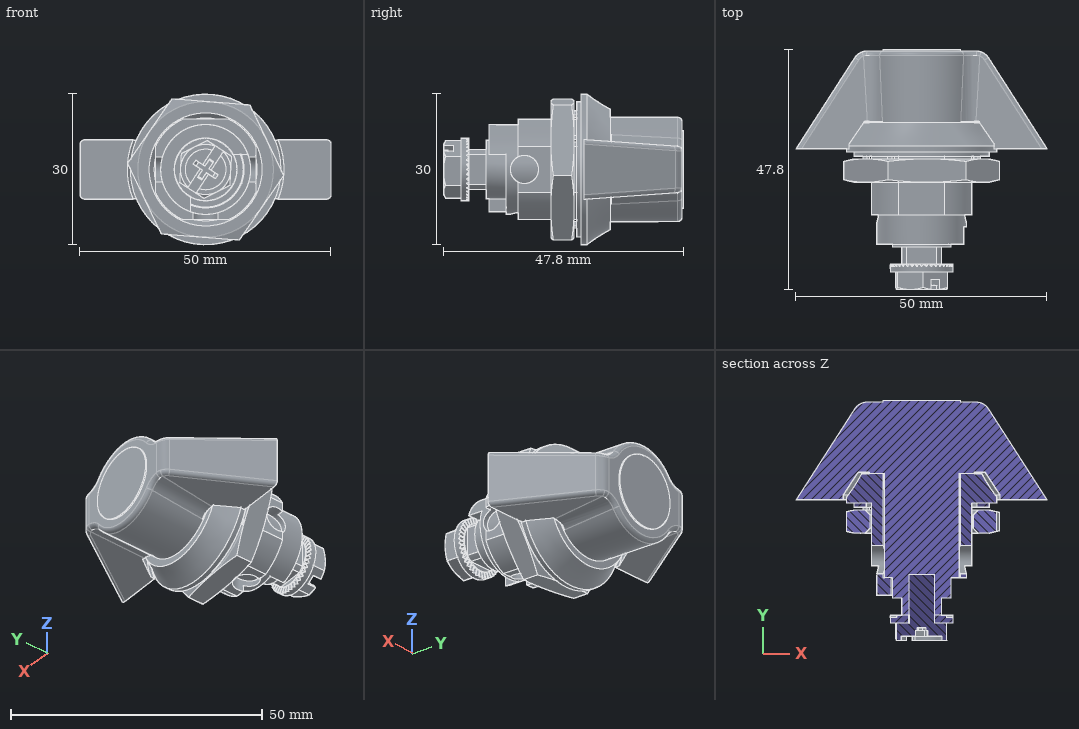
import cadquery as cq
import math


HALF_HEX_ANGLE = 30.0
FULL_TURN = 360.0
AXIS_BASE = (0, 0, 0)
AXIS_TIP = (0, 1, 0)

FLANGE_THICKNESS = 1.2
CONE_TOP_HEIGHT = 5.85
GRIP_HEIGHT = 14.3
CAP_HEIGHT = 0.3
GASKET_THICKNESS = 0.85
NUB_HEIGHT = 0.5
NUT_THICKNESS = 4.65
BARREL_LENGTH = 12.5
NOSE_LENGTH = 5.85
STOP_LENGTH = 3.45
NECK_PROJECTION = 0.55
SQUARE_LENGTH = 3.4
WASHER_THICKNESS = 1.6
HEAD_HEIGHT = 3.45

FLANGE_Y = 0.0
CONE_BASE_Y = FLANGE_Y + FLANGE_THICKNESS
CONE_TOP_Y = FLANGE_Y + CONE_TOP_HEIGHT
KNOB_TOP_Y = CONE_TOP_Y + GRIP_HEIGHT
CAP_Y = KNOB_TOP_Y + CAP_HEIGHT
WING_BASE_Y = 0.65
GASKET_END_Y = FLANGE_Y - GASKET_THICKNESS
NUT_BACK_Y = GASKET_END_Y - NUB_HEIGHT
NUT_FRONT_Y = NUT_BACK_Y - NUT_THICKNESS
BARREL_END_Y = FLANGE_Y - BARREL_LENGTH
NOSE_END_Y = BARREL_END_Y - NOSE_LENGTH
STOP_Y = NOSE_END_Y + STOP_LENGTH
NECK_END_Y = NOSE_END_Y - NECK_PROJECTION
SHAFT_END_Y = NECK_END_Y - SQUARE_LENGTH
WASHER_END_Y = SHAFT_END_Y - WASHER_THICKNESS
HEAD_END_Y = WASHER_END_Y - HEAD_HEIGHT

KNOB_DIA = 20.85
CAP_DIA = 15.5
WING_SPAN = 50.0
WING_TOP_SPAN = 24.9
WING_BASE_THICKNESS = 11.9
WING_TOP_THICKNESS = 9.1
WING_CORNER_RADIUS = 3.0
EDGE_RADIUS = 0.95
WING_ROOT_RADIUS = 4.0
POCKET_BASE_DIA = 31.2
POCKET_TOP_DIA = 25.3
POCKET_STEP_Y = 1.6
WING_CLEARANCE = 0.25
ROTOR_DIA = 15.0
NECK_DIA = 11.7
SQUARE_SIDE = 8.0
SQUARE_CORNER_DIA = 10.0

FLANGE_DIA = 30.0
CONE_TOP_DIA = 24.0
CONE_MID_Y = 3.45
CONE_MID_DIA = 26.8
BARREL_DIA = 22.0
BARREL_FLATS = 20.0
NOSE_DIA = 17.9
BORE_DIA = 15.3
NECK_BORE_DIA = 12.2
STOP_WALL = 3.0
SIDE_HOLE_DIA = 5.6
SIDE_HOLE_Y = -11.25
SIDE_HOLE_TURNS = (0, 180, -90)

GASKET_DIA = 27.0
NUT_WIDTH = 27.0
NUT_HOLE_DIA = 20.5
NUT_MOUTH_DIA = 22.5
NUT_TURN = -4.5
NUT_CHAMFER = 0.5
NUB_SIDE = 1.0
NUB_RADIUS = 12.6
NUB_TURN = 29.0
NUB_COUNT = 4

WASHER_DIA = 12.5
WASHER_HOLE_DIA = 5.1
NOTCH_COUNT = 40
NOTCH_DEPTH = 0.45
NOTCH_WIDTH = 0.75

SCREW_DIA = 5.0
SCREW_DEPTH = 8.0
HEAD_WIDTH = 10.0
HEAD_TURN = 26.8
HEAD_CHAMFER = 0.4
DISH_DIA = 8.1
DISH_DEPTH = 0.85
SLOT_WIDTH = 2.0
SLOT_DEPTH = 1.95
CROSS_ARM_WIDTH = 0.95
CROSS_TOP_SPAN = 5.3
CROSS_FLOOR_SPAN = 3.9
CROSS_DEPTH = 2.5


def cylinder(diameter, y_low, y_high):
    """Cylinder about the Y axis between two stations."""
    return cq.Workplane("XZ", origin=(0, y_high, 0)).circle(diameter / 2).extrude(y_high - y_low)


def turned(points):
    """Solid turned about the Y axis from (radius, y) points."""
    return cq.Workplane("XY").polyline(points).close().revolve(FULL_TURN, AXIS_BASE, AXIS_TIP)


def corner_radius(width):
    """Distance from the axis to the corners of a hexagon of the given width across flats."""
    return width / 2 / math.cos(math.radians(HALF_HEX_ANGLE))


def hex_prism(width, turn, y_low, y_high):
    """Hexagonal prism along Y; one corner points `turn` degrees above +X."""
    corner_dia = 2 * corner_radius(width)
    prism = cq.Workplane("XZ", origin=(0, y_high, 0)).polygon(6, corner_dia).extrude(y_high - y_low)
    return prism.rotate(AXIS_BASE, AXIS_TIP, -turn)


def make_wing_outline():
    """Trapezoid with rounded top corners, thick enough to hold the whole grip."""
    outline = (
        cq.Workplane("XY", origin=(0, 0, -KNOB_DIA))
        .moveTo(-WING_SPAN / 2, WING_BASE_Y)
        .lineTo(WING_SPAN / 2, WING_BASE_Y)
        .lineTo(WING_TOP_SPAN / 2, KNOB_TOP_Y)
        .lineTo(-WING_TOP_SPAN / 2, KNOB_TOP_Y)
        .close()
        .extrude(2 * KNOB_DIA)
    )
    return outline.edges("|Z and >Y").fillet(WING_CORNER_RADIUS)


def make_grip():
    """Round grip and two tapered wings, blended at the roots and rounded along the outer edges."""
    base_half = WING_BASE_THICKNESS / 2
    top_half = WING_TOP_THICKNESS / 2
    slab = (
        cq.Workplane("YZ", origin=(-WING_SPAN / 2, 0, 0))
        .moveTo(WING_BASE_Y, -base_half)
        .lineTo(KNOB_TOP_Y, -top_half)
        .lineTo(KNOB_TOP_Y, top_half)
        .lineTo(WING_BASE_Y, base_half)
        .close()
        .extrude(WING_SPAN)
    )
    grip = slab.union(cylinder(KNOB_DIA, WING_BASE_Y, KNOB_TOP_Y))
    grip = grip.edges("%ELLIPSE").fillet(WING_ROOT_RADIUS)
    grip = grip.intersect(make_wing_outline())
    return grip.faces(">Y").edges().fillet(EDGE_RADIUS)


def make_knob_pocket():
    """Clearance under the wings for the housing cone; its centre seats on the cone top."""
    return turned([
        (0, WING_BASE_Y),
        (POCKET_BASE_DIA / 2, WING_BASE_Y),
        (POCKET_BASE_DIA / 2, POCKET_STEP_Y),
        (POCKET_TOP_DIA / 2, CONE_TOP_Y + WING_CLEARANCE),
        (KNOB_DIA / 2, CONE_TOP_Y + WING_CLEARANCE),
        (KNOB_DIA / 2, CONE_TOP_Y),
        (0, CONE_TOP_Y),
    ])


def make_knob():
    """Wing knob with its cap, rotor shaft, neck and square cam seat."""
    knob = make_grip().cut(make_knob_pocket())
    knob = knob.union(cylinder(CAP_DIA, KNOB_TOP_Y, CAP_Y))
    knob = knob.union(cylinder(ROTOR_DIA, STOP_Y, CONE_TOP_Y))
    knob = knob.union(cylinder(NECK_DIA, NECK_END_Y, STOP_Y))
    square = cq.Workplane("XZ", origin=(0, NECK_END_Y, 0)).rect(SQUARE_SIDE, SQUARE_SIDE)
    square = square.extrude(SQUARE_LENGTH)
    seat = square.intersect(cylinder(SQUARE_CORNER_DIA, SHAFT_END_Y, NECK_END_Y))
    screw_hole = cylinder(SCREW_DIA, SHAFT_END_Y, SHAFT_END_Y + SCREW_DEPTH)
    return knob.union(seat).cut(screw_hole)


def make_side_hole(turn):
    """Radial hole through the wall, `turn` degrees about Y away from -X."""
    hole = cq.Workplane("YZ", origin=(0, SIDE_HOLE_Y, 0)).circle(SIDE_HOLE_DIA / 2).extrude(-BARREL_DIA)
    return hole.rotate(AXIS_BASE, AXIS_TIP, turn)


def make_barrel():
    """Threaded length of the housing with four flats."""
    flats = cq.Workplane("XZ").rect(BARREL_FLATS, BARREL_FLATS).extrude(BARREL_LENGTH)
    return cylinder(BARREL_DIA, BARREL_END_Y, FLANGE_Y).intersect(flats)


def make_housing():
    """Flanged housing: cone, flattened barrel and a nose with a quarter opened as a stop."""
    cone = (
        cq.Workplane("XY")
        .moveTo(0, FLANGE_Y)
        .lineTo(FLANGE_DIA / 2, FLANGE_Y)
        .lineTo(FLANGE_DIA / 2, CONE_BASE_Y)
        .threePointArc((CONE_MID_DIA / 2, CONE_MID_Y), (CONE_TOP_DIA / 2, CONE_TOP_Y))
        .lineTo(0, CONE_TOP_Y)
        .close()
        .revolve(FULL_TURN, AXIS_BASE, AXIS_TIP)
    )
    housing = cone.union(make_barrel()).union(cylinder(NOSE_DIA, NOSE_END_Y, BARREL_END_Y))
    housing = housing.cut(cylinder(BORE_DIA, STOP_Y, CONE_TOP_Y))
    housing = housing.cut(cylinder(NECK_BORE_DIA, NOSE_END_Y, STOP_Y))

    quarter = cq.Workplane("XZ", origin=(-STOP_WALL, STOP_Y, STOP_WALL))
    quarter = quarter.rect(NOSE_DIA, -NOSE_DIA, centered=False).extrude(STOP_LENGTH)
    housing = housing.cut(quarter)
    for turn in SIDE_HOLE_TURNS:
        housing = housing.cut(make_side_hole(turn))
    return housing


def make_gasket():
    """Flat ring against the flange."""
    return cylinder(GASKET_DIA, GASKET_END_Y, FLANGE_Y).cut(cylinder(BARREL_DIA, GASKET_END_Y, FLANGE_Y))


def make_nub(turn):
    """Small square foot between the nut's back face and the gasket."""
    nub = cq.Workplane("XZ", origin=(0, GASKET_END_Y, 0)).center(NUB_RADIUS, 0)
    nub = nub.rect(NUB_SIDE, NUB_SIDE).extrude(NUB_HEIGHT)
    return nub.rotate(AXIS_BASE, AXIS_TIP, -turn)


def make_nut_hole():
    """Hole through the nut with a 45 degree chamfer at each mouth."""
    mouth = NUT_MOUTH_DIA / 2
    bore = NUT_HOLE_DIA / 2
    depth = mouth - bore
    return turned([
        (0, NUT_FRONT_Y),
        (mouth, NUT_FRONT_Y),
        (bore, NUT_FRONT_Y + depth),
        (bore, NUT_BACK_Y - depth),
        (mouth, NUT_BACK_Y),
        (0, NUT_BACK_Y),
    ])


def make_nut():
    """Hexagonal nut, chamfered at the corners, fitted to the barrel and standing on four nubs."""
    corner = corner_radius(NUT_WIDTH)
    envelope = turned([
        (0, NUT_FRONT_Y),
        (NUT_WIDTH / 2, NUT_FRONT_Y),
        (corner, NUT_FRONT_Y + NUT_CHAMFER),
        (corner, NUT_BACK_Y - NUT_CHAMFER),
        (NUT_WIDTH / 2, NUT_BACK_Y),
        (0, NUT_BACK_Y),
    ])
    nut = hex_prism(NUT_WIDTH, NUT_TURN, NUT_FRONT_Y, NUT_BACK_Y).intersect(envelope)
    nut = nut.cut(make_nut_hole()).cut(make_barrel())
    for index in range(NUB_COUNT):
        nut = nut.union(make_nub(NUB_TURN + index * FULL_TURN / NUB_COUNT))
    return nut


def make_washer():
    """Lock washer with radial V-notches around the face towards the shaft."""
    washer = cylinder(WASHER_DIA, WASHER_END_Y, SHAFT_END_Y)
    washer = washer.cut(cylinder(WASHER_HOLE_DIA, WASHER_END_Y, SHAFT_END_Y))
    notch = (
        cq.Workplane("YZ", origin=(SQUARE_CORNER_DIA / 2, 0, 0))
        .moveTo(SHAFT_END_Y, -NOTCH_WIDTH / 2)
        .lineTo(SHAFT_END_Y - NOTCH_DEPTH, 0)
        .lineTo(SHAFT_END_Y, NOTCH_WIDTH / 2)
        .close()
        .extrude(WASHER_DIA / 2)
    )
    for index in range(NOTCH_COUNT):
        washer = washer.cut(notch.rotate(AXIS_BASE, AXIS_TIP, index * FULL_TURN / NOTCH_COUNT))
    return washer


def make_cross_arm(turn):
    """One full arm of the cross recess, narrowing towards its floor."""
    arm = (
        cq.Workplane("XY", origin=(0, 0, -CROSS_ARM_WIDTH / 2))
        .moveTo(-CROSS_TOP_SPAN / 2, HEAD_END_Y + DISH_DEPTH)
        .lineTo(CROSS_TOP_SPAN / 2, HEAD_END_Y + DISH_DEPTH)
        .lineTo(CROSS_FLOOR_SPAN / 2, HEAD_END_Y + CROSS_DEPTH)
        .lineTo(-CROSS_FLOOR_SPAN / 2, HEAD_END_Y + CROSS_DEPTH)
        .close()
        .extrude(CROSS_ARM_WIDTH)
    )
    return arm.rotate(AXIS_BASE, AXIS_TIP, -turn)


def make_screw():
    """Hexagon-head screw with a dished face, a straight slot and a cross recess."""
    corner = corner_radius(HEAD_WIDTH)
    envelope = turned([
        (0, HEAD_END_Y),
        (HEAD_WIDTH / 2, HEAD_END_Y),
        (corner, HEAD_END_Y + HEAD_CHAMFER),
        (corner, WASHER_END_Y),
        (0, WASHER_END_Y),
    ])
    screw = hex_prism(HEAD_WIDTH, HEAD_TURN, HEAD_END_Y, WASHER_END_Y).intersect(envelope)
    screw = screw.cut(cylinder(DISH_DIA, HEAD_END_Y, HEAD_END_Y + DISH_DEPTH))

    slot_turn = HEAD_TURN + HALF_HEX_ANGLE
    slot = cq.Workplane("XZ", origin=(0, HEAD_END_Y + SLOT_DEPTH, 0))
    slot = slot.rect(2 * HEAD_WIDTH, SLOT_WIDTH).extrude(SLOT_DEPTH)
    screw = screw.cut(slot.rotate(AXIS_BASE, AXIS_TIP, -slot_turn))
    for turn in (slot_turn, slot_turn + 90):
        screw = screw.cut(make_cross_arm(turn))
    return screw.union(cylinder(SCREW_DIA, WASHER_END_Y, SHAFT_END_Y + SCREW_DEPTH))


knob = make_knob()
housing = make_housing()
gasket = make_gasket()
nut = make_nut()
washer = make_washer()
screw = make_screw()

result = cq.Compound.makeCompound([
    knob.solids().val(),
    housing.solids().val(),
    gasket.solids().val(),
    nut.solids().val(),
    washer.solids().val(),
    screw.solids().val(),
])